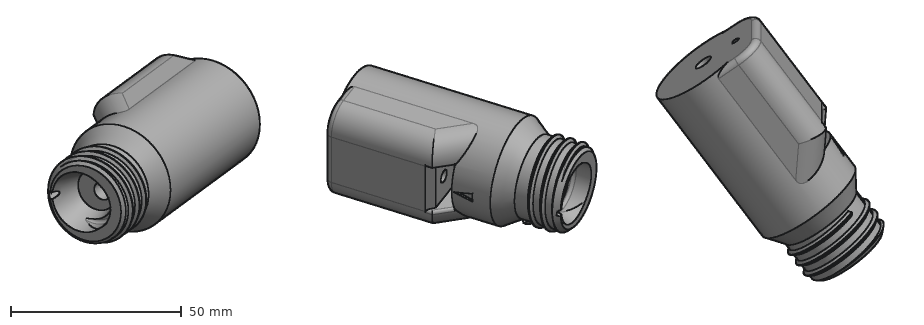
import cadquery as cq
import math

LENGTH = 73.4
WIDTH = 36.25
BODY_DIAMETER = 34.0
BODY_RADIUS = BODY_DIAMETER / 2
NECK_RADIUS = 13.0
NECK_LENGTH = 14.5
SHOULDER_LENGTH = 5.95
NECK_CHAMFER = 1.0

HOUSING_REACH = WIDTH - BODY_RADIUS
HOUSING_HALF_HEIGHT = 16.5
HOUSING_EDGE_RADIUS = 8.0
HOUSING_START = 38.4
HOUSING_NOSE_ANGLE = 40.0
HOUSING_END_FILLET = 2.0
NOSE_RUN = HOUSING_REACH / math.tan(math.radians(HOUSING_NOSE_ANGLE))

SLOT_START = 33.1
SLOT_END = 38.3
SLOT_HALF_HEIGHT = 8.0
SLOT_END_RADIUS = 15.0
SLOT_LEAD_IN = 2.35
SLOT_EDGE_RADIUS = 1.0

THREAD_RADIUS = 14.0
THREAD_PITCH = 4.0
THREAD_TURNS = 3.38
THREAD_START = -0.6
THREAD_ROOT_WIDTH = 1.75
THREAD_CREST_WIDTH = 0.3
THREAD_EMBED = 0.4

COUNTERBORE_DIAMETER = 16.8
COUNTERBORE_DEPTH = 6.0
COUNTERBORE_FILLET = 1.0
TAPER_X = -1.75
TAPER_MOUTH_RADIUS = 9.5
TAPER_FLOOR_RADIUS = 6.45
TAPER_DEPTH = 10.0

CENTRE_HOLE_RADIUS = 2.8
PIN_HOLE_DIAMETER = 2.4
PIN_HOLE_X = -11.6
PIN_SEAT_RADIUS = 2.0
PIN_SEAT_DEPTH = 2.0

ARROW_TIP = 32.4
ARROW_BASE = 26.35
ARROW_HALF_WIDTH = 1.5
ARROW_DEPTH = 0.8
ARROW_CLEARANCE = 0.7


def cylinder_y(radius, start, end, x=0.0):
    """Cylinder along Y between two Y positions."""
    return cq.Workplane("XZ", origin=(x, start, 0)).circle(radius).extrude(start - end)


def make_body():
    """Revolved neck, conical shoulder and cylindrical body."""
    shoulder_end = NECK_LENGTH + SHOULDER_LENGTH
    return (
        cq.Workplane("XY")
        .polyline([
            (0, 0),
            (NECK_RADIUS - NECK_CHAMFER, 0),
            (NECK_RADIUS, NECK_CHAMFER),
            (NECK_RADIUS, NECK_LENGTH),
            (BODY_RADIUS, shoulder_end),
            (BODY_RADIUS, LENGTH),
            (0, LENGTH),
        ])
        .close()
        .revolve(360, (0, 0, 0), (0, 1, 0))
    )


def make_housing():
    """Block with a slanted nose, large rounds along its outer edges and a filleted end."""
    block = (
        cq.Workplane("XY", origin=(0, 0, -HOUSING_HALF_HEIGHT))
        .polyline([
            (-HOUSING_REACH, LENGTH),
            (-HOUSING_REACH, HOUSING_START),
            (0, HOUSING_START - NOSE_RUN),
            (0, LENGTH),
        ])
        .close()
        .extrude(2 * HOUSING_HALF_HEIGHT)
    )
    nose_middle = (-HOUSING_REACH / 2, HOUSING_START - NOSE_RUN / 2, 0)
    nose_face = block.faces(cq.selectors.NearestToPointSelector(nose_middle))
    outer_edges = block.faces("<X").edges("|Y").add(nose_face.edges("not |Z"))
    rounded = block.newObject(outer_edges.vals()).fillet(HOUSING_EDGE_RADIUS)
    return rounded.faces(">Y").edges("not >X").fillet(HOUSING_END_FILLET)


def make_slot(half_height):
    """Flat-sided slot whose far end is round about the body axis and whose mouth has a lead-in."""
    far_corner_x = math.sqrt(SLOT_END_RADIUS ** 2 - half_height ** 2)
    slot = (
        cq.Workplane("XZ", origin=(0, SLOT_START, 0))
        .moveTo(-HOUSING_REACH, -half_height)
        .lineTo(far_corner_x, -half_height)
        .threePointArc((SLOT_END_RADIUS, 0), (far_corner_x, half_height))
        .lineTo(-HOUSING_REACH, half_height)
        .close()
        .extrude(SLOT_START - SLOT_END)
    )
    lead_in = (
        cq.Workplane("XY", origin=(0, 0, -half_height))
        .polyline([
            (-HOUSING_REACH, SLOT_END + SLOT_LEAD_IN),
            (SLOT_LEAD_IN - HOUSING_REACH, SLOT_END),
            (-HOUSING_REACH, SLOT_END),
        ])
        .close()
        .extrude(2 * half_height)
    )
    return slot.union(lead_in)


def make_slot_edge_round():
    """Void to cut away so that the upper slot wall rolls into the housing face and nose."""
    path = cq.Workplane("XY", origin=(0, 0, SLOT_HALF_HEIGHT)).polyline([
        (-HOUSING_REACH, SLOT_END + SLOT_LEAD_IN),
        (-HOUSING_REACH, HOUSING_START),
        (-HOUSING_REACH / 2, HOUSING_START - NOSE_RUN / 2),
    ])
    arc_offset = SLOT_EDGE_RADIUS * (1 - math.cos(math.radians(45)))
    corner_void = (
        cq.Workplane("XZ", origin=(-HOUSING_REACH, SLOT_END + SLOT_LEAD_IN, SLOT_HALF_HEIGHT))
        .lineTo(0, SLOT_EDGE_RADIUS)
        .threePointArc((arc_offset, arc_offset), (SLOT_EDGE_RADIUS, 0))
        .close()
        .sweep(path, transition="right")
    )
    return corner_void.intersect(make_slot(SLOT_HALF_HEIGHT + SLOT_EDGE_RADIUS))


def make_thread():
    """Right-handed ridge around the neck, trimmed by the cone of the neck chamfer."""
    inner = NECK_RADIUS - THREAD_EMBED
    slope = (THREAD_ROOT_WIDTH - THREAD_CREST_WIDTH) / 2 / (THREAD_RADIUS - NECK_RADIUS)
    inner_half = THREAD_ROOT_WIDTH / 2 + slope * THREAD_EMBED
    crest_half = THREAD_CREST_WIDTH / 2
    helix = cq.Wire.makeHelix(THREAD_PITCH, THREAD_PITCH * THREAD_TURNS, NECK_RADIUS)
    ridge = (
        cq.Workplane("XZ")
        .polyline([
            (inner, -inner_half),
            (THREAD_RADIUS, -crest_half),
            (THREAD_RADIUS, crest_half),
            (inner, inner_half),
        ])
        .close()
        .sweep(cq.Workplane(helix), isFrenet=True)
        .rotate((0, 0, 0), (1, 0, 0), -90)
        .translate((0, THREAD_START, 0))
    )
    front_radius = NECK_RADIUS - NECK_CHAMFER
    trim = (
        cq.Workplane("XY")
        .polyline([
            (0, 0),
            (front_radius, 0),
            (front_radius + NECK_LENGTH, NECK_LENGTH),
            (0, NECK_LENGTH),
        ])
        .close()
        .revolve(360, (0, 0, 0), (0, 1, 0))
    )
    return ridge.intersect(trim)


def make_mouth():
    """Filleted counterbore joined with the offset tapered pocket."""
    counterbore = cylinder_y(COUNTERBORE_DIAMETER / 2, 0, COUNTERBORE_DEPTH)
    counterbore = counterbore.faces(">Y").edges().fillet(COUNTERBORE_FILLET)
    pocket = (
        cq.Workplane("XY", origin=(TAPER_X, 0, 0))
        .polyline([
            (0, 0),
            (TAPER_MOUTH_RADIUS, 0),
            (TAPER_FLOOR_RADIUS, TAPER_DEPTH),
            (0, TAPER_DEPTH),
        ])
        .close()
        .revolve(360, (0, 0, 0), (0, 1, 0))
    )
    return counterbore.union(pocket)


def make_arrow():
    """Triangular recess cut into the -X side of the body."""
    return (
        cq.Workplane("YZ", origin=(-BODY_RADIUS - ARROW_CLEARANCE, 0, 0))
        .polyline([(ARROW_TIP, 0), (ARROW_BASE, ARROW_HALF_WIDTH), (ARROW_BASE, -ARROW_HALF_WIDTH)])
        .close()
        .extrude(ARROW_CLEARANCE + ARROW_DEPTH)
    )


edge_round = make_slot_edge_round()
result = make_body().union(make_housing())
result = result.cut(make_slot(SLOT_HALF_HEIGHT))
result = result.cut(edge_round).cut(edge_round.mirror("XY"))
result = result.union(make_thread()).cut(make_mouth()).cut(make_arrow())
result = result.cut(cylinder_y(CENTRE_HOLE_RADIUS, 0, LENGTH))
result = result.cut(cylinder_y(PIN_HOLE_DIAMETER / 2, 0, LENGTH, PIN_HOLE_X))
result = result.cut(cylinder_y(PIN_SEAT_RADIUS, SLOT_END, SLOT_END + PIN_SEAT_DEPTH, PIN_HOLE_X))